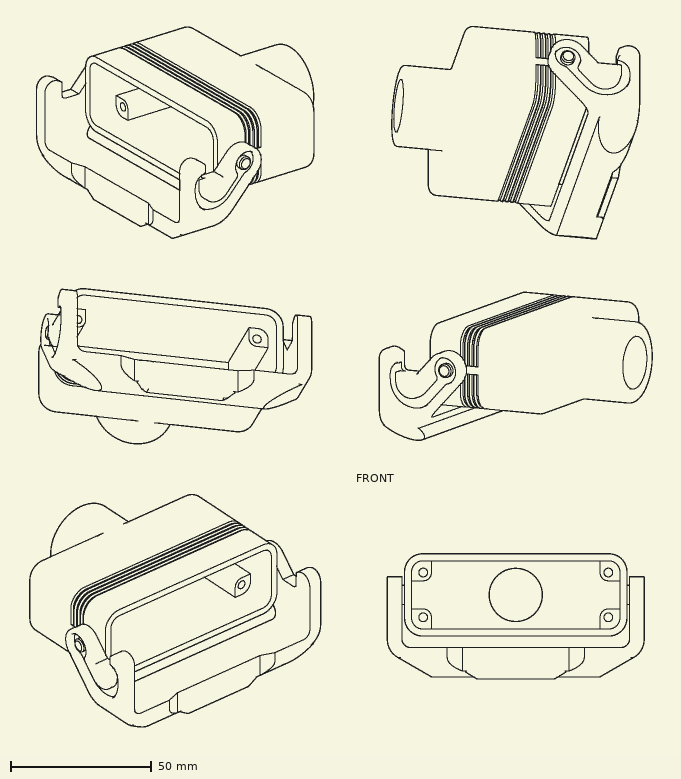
import cadquery as cq
import math


HOOD_LENGTH = 79.3
HOOD_HEIGHT = 29.4
HOOD_DEPTH = 44.1
HOOD_CORNER_RADIUS = 6.5
HOOD_BACK_FILLET = 3.0
WALL = 2.6
NECK_RADIUS = 14.6
NECK_END_Y = 61.6
NECK_END_FILLET = 1.1
NECK_BASE_FILLET = 0.7
NECK_BASE_MARGIN = 0.9
BORE_DIAMETER = 18.9

POST_RADIUS = 2.9
POST_CORNER_RADIUS = 2.8
POST_X = 33.0
POST_Z = 8.0
POST_FRONT_Y = 11.6
SCREW_HOLE_DIAMETER = 3.1
SCREW_HOLE_DEPTH = 9.2

GROOVE_COUNT = 4
GROOVE_PITCH = 1.8
GROOVE_WIDTH = 1.65
GROOVE_DEPTH = 0.5
FIRST_GROOVE_Y = 12.9
LAND_HEIGHT = 2.9

PIVOT_Y = 8.4
PIN_DIAMETER = 4.9
PIN_END_X = 45.1
PIN_CHAMFER = 0.55
SHOULDER_DIAMETER = 7.0

LEVER_LENGTH = 91.55
ARM_THICKNESS = 5.3
ARM_EDGE_FILLET = 0.5
EYE_RADIUS = 6.6
ARM_SLOPE = math.radians(47)
LEVER_FRONT_Y = -17.4
HOOK_RADIUS = 3.8
HOOK_TOP_Z = 6.4
HOOK_TIP_SLOPE = math.radians(27)
HOOK_TIP_FILLET = 1.0
NOTCH_FLOOR_Z = -1.8
NOTCH_FILLET = 1.6
BAR_CENTRE_Z = -22.25
BAR_FACET_COUNT = 22
BAR_FLOOR_Z = -18.7
INNER_CORNER_RADIUS = 2.9
OUTER_CORNER_RADIUS = 7.4
BAR_END_SLOPE = math.radians(30)

CHANNEL_DEPTH = 2.75
CHANNEL_EYE_RADIUS = 4.8
CHANNEL_LOWER_OFFSET = 3.8
CHANNEL_UPPER_OFFSET = 0.2
CHANNEL_OUTER_BEND_RADIUS = 9.8
CHANNEL_INNER_BEND_RADIUS = 6.0
CHANNEL_OUTER_Y = -14.2
CHANNEL_INNER_Y = -10.8
CHANNEL_TOP_Z = 1.4
CHANNEL_TOP_RADIUS = 4.6
CHANNEL_NECK_FILLET = 1.65
ISLAND_CORNER_RADIUS = 0.55

GRIP_FACE_Y = -15.5
GRIP_HALF_LENGTH = 19.0
GRIP_HALF_MOUTH = 24.4
TAB_THICKNESS = 2.5
TAB_TOP_Z = -26.7
TAB_BOTTOM_Z = -29.9
TAB_BOTTOM_HALF_LENGTH = 13.9
TAB_FILLET = 0.55

cavity_length = HOOD_LENGTH - 2 * WALL
cavity_height = HOOD_HEIGHT - 2 * WALL
cavity_depth = HOOD_DEPTH - WALL
cavity_corner_radius = HOOD_CORNER_RADIUS - WALL
half_lever = LEVER_LENGTH / 2
arm_inner_x = half_lever - ARM_THICKNESS
channel_floor_x = half_lever - CHANNEL_DEPTH
hook_inner_y = LEVER_FRONT_Y + 2 * HOOK_RADIUS
hook_centre_y = LEVER_FRONT_Y + HOOK_RADIUS
hook_centre_z = HOOK_TOP_Z - HOOK_RADIUS


def slope_point(along, across):
    """Point (y, z) at a distance along the arm slope from the pivot, and across it (upwards positive)."""
    y = PIVOT_Y - along * math.cos(ARM_SLOPE) - across * math.sin(ARM_SLOPE)
    z = -along * math.sin(ARM_SLOPE) + across * math.cos(ARM_SLOPE)
    return y, z


def slope_point_at_z(z, across):
    """Point (y, z) where a line parallel to the arm slope reaches a height."""
    along = (across * math.cos(ARM_SLOPE) - z) / math.sin(ARM_SLOPE)
    return slope_point(along, across)


def slope_z_at_y(y, across):
    """Height where a line parallel to the arm slope reaches a place along Y."""
    along = (PIVOT_Y - y - across * math.sin(ARM_SLOPE)) / math.cos(ARM_SLOPE)
    return slope_point(along, across)[1]


bar_back_y = slope_point_at_z(BAR_CENTRE_Z, -EYE_RADIUS)[0]
bar_radius = (bar_back_y - LEVER_FRONT_Y) / 2
bar_centre_y = (bar_back_y + LEVER_FRONT_Y) / 2
bar_bottom_z = BAR_CENTRE_Z - bar_radius


def rounded_block(length, height, radius, start_y, depth):
    """Block along +Y from start_y with rounded corners in XZ."""
    block = cq.Workplane("XZ", origin=(0, start_y, 0)).rect(length, height).extrude(-depth)
    return block.edges("|Y").fillet(radius)


def y_cylinder(x, z, diameter, start_y, depth):
    """Cylinder along +Y from start_y."""
    return cq.Workplane("XZ", origin=(x, start_y, z)).circle(diameter / 2).extrude(-depth)


def hood_shell():
    """Solid outside of the hood, with the cable neck on its back."""
    shell = rounded_block(HOOD_LENGTH, HOOD_HEIGHT, HOOD_CORNER_RADIUS, 0, HOOD_DEPTH)
    shell = shell.faces(">Y").edges().fillet(HOOD_BACK_FILLET)
    neck = y_cylinder(0, 0, 2 * NECK_RADIUS, cavity_depth, NECK_END_Y - cavity_depth)
    neck = neck.faces(">Y").edges().fillet(NECK_END_FILLET)
    shell = shell.union(neck)
    reach = NECK_RADIUS + NECK_BASE_MARGIN
    neck_base = cq.selectors.BoxSelector(
        (-reach, HOOD_DEPTH - HOOD_BACK_FILLET, -reach),
        (reach, HOOD_DEPTH + NECK_BASE_MARGIN, reach),
        boundingbox=True,
    )
    return shell.edges(neck_base).fillet(NECK_BASE_FILLET)


def screw_posts(cavity):
    """Four posts filling the cavity corners, rounded around their screw holes."""
    depth = cavity_depth - POST_FRONT_Y
    half_length = cavity_length / 2
    half_height = cavity_height / 2
    post_length = half_length - POST_X + POST_RADIUS
    post_height = half_height - POST_Z + POST_RADIUS
    posts = cq.Workplane("XY")
    for side in (-1, 1):
        for level in (-1, 1):
            centre = (side * (half_length - post_length / 2), level * (half_height - post_height / 2))
            post = cq.Workplane("XZ", origin=(0, POST_FRONT_Y, 0)).center(*centre)
            post = post.rect(post_length, post_height).extrude(-depth)
            post = post.edges("|Y").edges("<X" if side > 0 else ">X")
            post = post.edges("<Z" if level > 0 else ">Z").fillet(POST_CORNER_RADIUS)
            hole = y_cylinder(side * POST_X, level * POST_Z, SCREW_HOLE_DIAMETER, POST_FRONT_Y, SCREW_HOLE_DEPTH)
            posts = posts.add(post.intersect(cavity).cut(hole))
    return posts


def groove_cutter(centre_y):
    """Ring with a V section that cuts one groove around the hood."""
    half_width = GROOVE_WIDTH / 2
    taper = math.degrees(math.atan2(GROOVE_DEPTH, half_width))
    ring = rounded_block(
        HOOD_LENGTH + WALL, HOOD_HEIGHT + WALL, HOOD_CORNER_RADIUS, centre_y - half_width, GROOVE_WIDTH
    )
    outline = cq.Sketch().rect(HOOD_LENGTH, HOOD_HEIGHT).vertices().fillet(HOOD_CORNER_RADIUS)
    for direction in (-1, 1):
        start = (0, centre_y + direction * half_width, 0)
        core = cq.Workplane("XZ", origin=start).placeSketch(outline)
        ring = ring.cut(core.extrude(direction * half_width, taper=taper))
    land = cq.Workplane("XY").box(2 * HOOD_LENGTH, HOOD_DEPTH, LAND_HEIGHT).translate((0, centre_y, 0))
    return ring.cut(land)


def pivot_pin(side):
    """Pin on one end of the hood, with a shoulder that spaces the lever arm from the hood."""
    start_x = HOOD_LENGTH / 2 - WALL / 2
    base = cq.Workplane("YZ", origin=(start_x, PIVOT_Y, 0))
    shoulder = base.circle(SHOULDER_DIAMETER / 2).extrude(arm_inner_x - start_x)
    pin = base.circle(PIN_DIAMETER / 2).extrude(PIN_END_X - start_x)
    pin = shoulder.union(pin.faces(">X").chamfer(PIN_CHAMFER))
    return pin if side > 0 else pin.mirror("YZ")


def build_hood():
    """Hollow hood with grooves, screw posts, cable bore and pivot pins."""
    hood = hood_shell()
    for index in range(GROOVE_COUNT):
        hood = hood.cut(groove_cutter(FIRST_GROOVE_Y + index * GROOVE_PITCH))
    cavity = rounded_block(cavity_length, cavity_height, cavity_corner_radius, 0, cavity_depth)
    hood = hood.cut(cavity)
    for post in screw_posts(cavity).vals():
        hood = hood.union(cq.Workplane(post))
    hood = hood.cut(y_cylinder(0, 0, BORE_DIAMETER, 0, NECK_END_Y))
    for side in (-1, 1):
        hood = hood.union(pivot_pin(side))
    return hood


def arm_profile():
    """Side outline of an arm, from the eye and the hook down to the middle of the bar."""
    hook_flat_end = (
        hook_centre_y + HOOK_RADIUS * math.sin(HOOK_TIP_SLOPE),
        hook_centre_z + HOOK_RADIUS * math.cos(HOOK_TIP_SLOPE),
    )
    hook_tip_drop = (hook_inner_y - hook_flat_end[0]) * math.tan(HOOK_TIP_SLOPE)
    hook_tip = (hook_inner_y, hook_flat_end[1] - hook_tip_drop)
    profile = (
        cq.Workplane("YZ")
        .moveTo(*slope_point(0, EYE_RADIUS))
        .lineTo(*slope_point_at_z(NOTCH_FLOOR_Z, EYE_RADIUS))
        .lineTo(hook_inner_y, NOTCH_FLOOR_Z)
        .lineTo(*hook_tip)
        .lineTo(*hook_flat_end)
        .threePointArc((hook_centre_y, HOOK_TOP_Z), (LEVER_FRONT_Y, hook_centre_z))
        .lineTo(LEVER_FRONT_Y, BAR_CENTRE_Z)
        .lineTo(bar_back_y, BAR_CENTRE_Z)
        .lineTo(*slope_point(0, -EYE_RADIUS))
        .threePointArc(slope_point(-EYE_RADIUS, 0), slope_point(0, EYE_RADIUS))
        .close()
        .extrude(half_lever)
    )
    notch_corner = cq.selectors.NearestToPointSelector((half_lever / 2, hook_inner_y, NOTCH_FLOOR_Z))
    profile = profile.edges("|X").edges(notch_corner).fillet(NOTCH_FILLET)
    tip_corner = cq.selectors.NearestToPointSelector((half_lever / 2, *hook_tip))
    return profile.edges("|X").edges(tip_corner).fillet(HOOK_TIP_FILLET)


def end_section():
    """Section of one lever end in XZ, an upright arm that bends into the sloping end of the bar."""
    turn = math.pi / 2 - BAR_END_SLOPE
    arc_centre_x = half_lever - OUTER_CORNER_RADIUS
    arc_start_z = BAR_CENTRE_Z + OUTER_CORNER_RADIUS * math.sin(turn)
    arc_end_x = arc_centre_x + OUTER_CORNER_RADIUS * math.cos(turn)
    arc_middle = (
        arc_centre_x + OUTER_CORNER_RADIUS * math.cos(turn / 2),
        arc_start_z - OUTER_CORNER_RADIUS * math.sin(turn / 2),
    )
    slope_end_x = arc_end_x - (BAR_CENTRE_Z - bar_bottom_z) / math.tan(BAR_END_SLOPE)
    section = (
        cq.Workplane("XZ", origin=(0, PIVOT_Y + EYE_RADIUS, 0))
        .moveTo(arm_inner_x, EYE_RADIUS)
        .lineTo(half_lever, EYE_RADIUS)
        .lineTo(half_lever, arc_start_z)
        .threePointArc(arc_middle, (arc_end_x, BAR_CENTRE_Z))
        .lineTo(slope_end_x, bar_bottom_z)
        .lineTo(0, bar_bottom_z)
        .lineTo(0, BAR_FLOOR_Z)
        .lineTo(arm_inner_x, BAR_FLOOR_Z)
        .close()
        .extrude(PIVOT_Y + EYE_RADIUS - LEVER_FRONT_Y)
    )
    corner = cq.selectors.NearestToPointSelector((arm_inner_x, 0, BAR_FLOOR_Z))
    return section.edges("|Y").edges(corner).fillet(INNER_CORNER_RADIUS)


def bend_points(upright_y, radius, across):
    """Start, middle and end of the arc from a line parallel to the arm slope to an upright line."""
    centre_y = upright_y + radius
    centre_z = slope_z_at_y(centre_y, across + radius)
    start_angle = ARM_SLOPE - math.pi / 2
    end_angle = -math.pi
    angles = (start_angle, (start_angle + end_angle) / 2, end_angle)
    return [(centre_y + radius * math.cos(angle), centre_z + radius * math.sin(angle)) for angle in angles]


def channel_cutter():
    """Curved channel from the eye, around the bend and up into the notch of the hook."""
    outer_bend = bend_points(CHANNEL_OUTER_Y, CHANNEL_OUTER_BEND_RADIUS, -CHANNEL_LOWER_OFFSET)
    inner_bend = bend_points(CHANNEL_INNER_Y, CHANNEL_INNER_BEND_RADIUS, CHANNEL_UPPER_OFFSET)
    top_centre_y = CHANNEL_OUTER_Y + CHANNEL_TOP_RADIUS
    top_centre_z = CHANNEL_TOP_Z - CHANNEL_TOP_RADIUS
    top_diagonal = CHANNEL_TOP_RADIUS * math.sqrt(0.5)
    notch_y = hook_inner_y + NOTCH_FILLET
    plane = cq.Workplane("YZ", origin=(channel_floor_x, 0, 0))
    band = (
        plane.moveTo(*slope_point(0, -CHANNEL_LOWER_OFFSET))
        .lineTo(*outer_bend[0])
        .threePointArc(outer_bend[1], outer_bend[2])
        .lineTo(CHANNEL_OUTER_Y, top_centre_z)
        .threePointArc((top_centre_y - top_diagonal, top_centre_z + top_diagonal), (top_centre_y, CHANNEL_TOP_Z))
        .lineTo(notch_y, CHANNEL_TOP_Z)
        .lineTo(notch_y, NOTCH_FLOOR_Z)
        .lineTo(CHANNEL_INNER_Y, NOTCH_FLOOR_Z)
        .lineTo(*inner_bend[2])
        .threePointArc(inner_bend[1], inner_bend[0])
        .lineTo(*slope_point(0, CHANNEL_UPPER_OFFSET))
        .close()
        .extrude(CHANNEL_DEPTH)
    )
    eye = plane.center(PIVOT_Y, 0).circle(CHANNEL_EYE_RADIUS).extrude(CHANNEL_DEPTH)
    cutter = band.union(eye)
    for offset in (-CHANNEL_LOWER_OFFSET, CHANNEL_UPPER_OFFSET):
        along = math.sqrt(CHANNEL_EYE_RADIUS**2 - offset**2)
        neck = cq.selectors.NearestToPointSelector((channel_floor_x, *slope_point(along, offset)))
        cutter = cutter.edges("|X").edges(neck).fillet(CHANNEL_NECK_FILLET)
    return cutter


def upper_lever(section):
    """Both arms with their channels, and the part of the bar above its middle height."""
    half = arm_profile()
    lever = half.union(half.mirror("YZ")).intersect(section)
    channel = channel_cutter()
    lever = lever.cut(channel).cut(channel.mirror("YZ"))
    for side, end_face in ((-1, "<X"), (1, ">X")):
        island_corner = (side * (half_lever - CHANNEL_DEPTH / 2), CHANNEL_INNER_Y, NOTCH_FLOOR_Z)
        corner_edge = cq.selectors.NearestToPointSelector(island_corner)
        lever = lever.edges("|X").edges(corner_edge).fillet(ISLAND_CORNER_RADIUS)
        lever = lever.faces(end_face).edges().fillet(ARM_EDGE_FILLET)
    return lever


def lower_bar(section):
    """Rounded underside of the bar, faceted for grip and cut to the sloping ends of the lever."""
    facet_angle = math.pi / BAR_FACET_COUNT
    corners = [
        (
            bar_centre_y + bar_radius * math.cos(index * facet_angle),
            BAR_CENTRE_Z - bar_radius * math.sin(index * facet_angle),
        )
        for index in range(BAR_FACET_COUNT + 1)
    ]
    bar = cq.Workplane("YZ", origin=(-half_lever, 0, 0)).polyline(corners).close().extrude(LEVER_LENGTH)
    return bar.intersect(section)


def grip_recess():
    """Flat recess with slanted ends in the front of the bar."""
    points = [
        (-GRIP_HALF_MOUTH, LEVER_FRONT_Y),
        (-GRIP_HALF_LENGTH, GRIP_FACE_Y),
        (GRIP_HALF_LENGTH, GRIP_FACE_Y),
        (GRIP_HALF_MOUTH, LEVER_FRONT_Y),
    ]
    height = BAR_FLOOR_Z - bar_bottom_z
    return cq.Workplane("XY", origin=(0, 0, bar_bottom_z)).polyline(points).close().extrude(height)


def grip_tab():
    """Tab that hangs below the bar, flush with the grip recess."""
    points = [
        (-GRIP_HALF_LENGTH, TAB_TOP_Z),
        (GRIP_HALF_LENGTH, TAB_TOP_Z),
        (TAB_BOTTOM_HALF_LENGTH, TAB_BOTTOM_Z),
        (-TAB_BOTTOM_HALF_LENGTH, TAB_BOTTOM_Z),
    ]
    tab = cq.Workplane("XZ", origin=(0, GRIP_FACE_Y, 0)).polyline(points).close().extrude(-TAB_THICKNESS)
    return tab.faces("<Y").edges("not >Z").fillet(TAB_FILLET)


def build_lever():
    """Lever with two hooked arms on the pivot pins, joined by the bar with its thumb grip."""
    half_section = end_section()
    section = half_section.union(half_section.mirror("YZ"))
    lever = upper_lever(section).union(lower_bar(section))
    pin_holes = cq.Workplane("YZ", origin=(-half_lever, PIVOT_Y, 0)).circle(PIN_DIAMETER / 2).extrude(LEVER_LENGTH)
    return lever.cut(pin_holes).cut(grip_recess()).union(grip_tab())


hood = build_hood()
lever = build_lever()
result = cq.Compound.makeCompound([*hood.solids().vals(), *lever.solids().vals()])